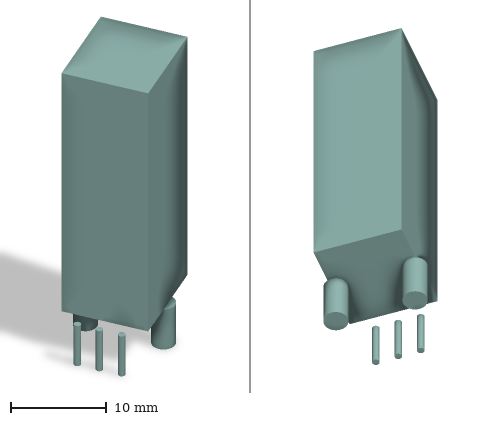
import cadquery as cq

total_width = 11.43
total_depth = 12.9
total_height = 35.6

housing_width = 9.75
housing_depth = 11.0
leg_length = 5.13
housing_height = total_height - leg_length

peg_diameter = 2.65
peg_offset_x = (total_width - peg_diameter) / 2

pin_diameter = 0.8
pin_pitch = 2.5
pin_count = 3
pin_y = housing_depth / 2 - total_depth + pin_diameter / 2


def make_housing():
    """Plain rectangular block with its underside at Z = 0."""
    return cq.Workplane("XY").box(
        housing_width, housing_depth, housing_height, centered=(True, True, False)
    )


def make_leg(diameter, x, y):
    """Vertical cylinder hanging down from the Z = 0 plane."""
    return cq.Workplane("XY").center(x, y).circle(diameter / 2).extrude(-leg_length)


housing = make_housing()

pegs = []
for side in (-1, 1):
    peg = make_leg(peg_diameter, side * peg_offset_x, 0)
    pegs.append(peg.val())

pins = []
for index in range(pin_count):
    pin_x = (index - (pin_count - 1) / 2) * pin_pitch
    pin = make_leg(pin_diameter, pin_x, pin_y)
    pins.append(pin.val())

result = cq.Compound.makeCompound([housing.val(), *pegs, *pins])